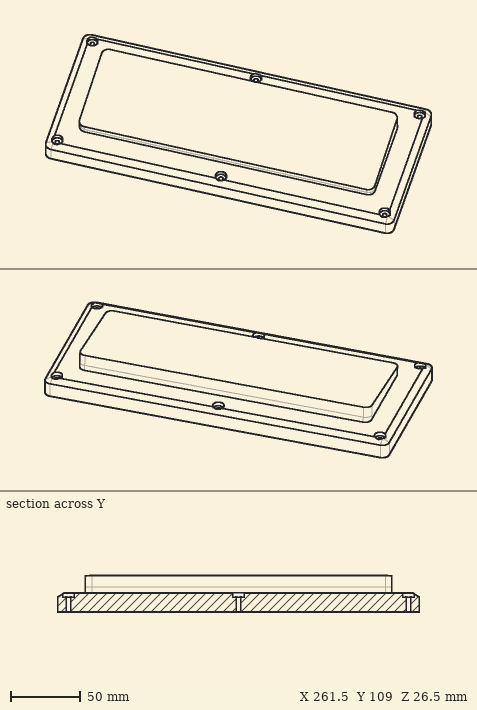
import cadquery as cq
import math

base_length = 261.5
base_width = 109.0
base_height = 13.9
corner_radius = 5.2
bevel_width = 5.0
bevel_height = 3.0

screw_diameter = 3.1
head_diameter = 8.0
head_depth = 3.1
screw_inset = 7.8

panel_length = 221.8
panel_width = 69.0
panel_corner_radius = 5.0
total_height = 26.5
tilt_angle = 5.0
front_bend_height = 3.1
back_bend_height = 4.5


def make_base():
    """Plate with rounded corners and a shallow bevel around its top."""
    return (
        cq.Workplane("XY")
        .box(base_length, base_width, base_height, centered=(True, True, False))
        .edges("|Z")
        .fillet(corner_radius)
        .faces(">Z")
        .chamfer(bevel_height, bevel_width)
    )


def make_panel():
    """YZ side profile extruded along X, with the four upright corners rounded."""
    tilt = math.radians(tilt_angle)
    half_width = panel_width / 2

    def bend_point(start_y, bend_height, share):
        """Point on the bend after the given share of its turn."""
        radius = bend_height / math.sin(tilt)
        turn = share * tilt
        return start_y - radius * (1 - math.cos(turn)), base_height + radius * math.sin(turn)

    front_middle = bend_point(-half_width, front_bend_height, 0.5)
    front_bend = bend_point(-half_width, front_bend_height, 1)
    back_middle = bend_point(half_width, back_bend_height, 0.5)
    back_bend = bend_point(half_width, back_bend_height, 1)

    back_top_y = back_bend[0] - (total_height - back_bend[1]) * math.tan(tilt)
    depth = back_top_y - front_bend[0]
    drop = total_height - front_bend[1]
    top_width = depth * math.cos(tilt) + drop * math.sin(tilt)
    front_top_y = back_top_y - top_width * math.cos(tilt)
    front_top_z = total_height - top_width * math.sin(tilt)

    return (
        cq.Workplane("YZ")
        .moveTo(-half_width, base_height)
        .threePointArc(front_middle, front_bend)
        .lineTo(front_top_y, front_top_z)
        .lineTo(back_top_y, total_height)
        .lineTo(*back_bend)
        .threePointArc(back_middle, (half_width, base_height))
        .close()
        .extrude(panel_length / 2, both=True)
        .faces("<Y or >Y")
        .edges("not |X")
        .fillet(panel_corner_radius)
    )


def make_screw_holes():
    """Through holes, each with a flat-bottomed recess for the screw head."""
    x = base_length / 2 - screw_inset
    y = base_width / 2 - screw_inset
    places = [(column * x, side * y) for column in (-1, 0, 1) for side in (-1, 1)]
    shafts = cq.Workplane("XY").pushPoints(places).circle(screw_diameter / 2).extrude(base_height)
    heads = (
        cq.Workplane("XY")
        .workplane(offset=base_height - head_depth)
        .pushPoints(places)
        .circle(head_diameter / 2)
        .extrude(head_depth)
    )
    return shafts.union(heads)


result = make_base().union(make_panel()).cut(make_screw_holes())